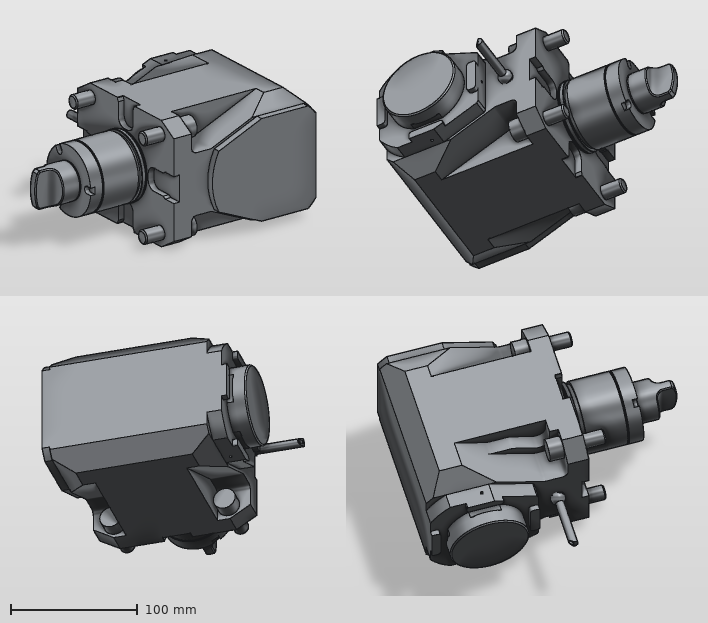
import cadquery as cq


BODY_HALF_X = 65.0
BODY_HALF_Z = 54.0
BODY_DEPTH = 134.0
SIDE_CHAMFER_X = 16.9
SIDE_CHAMFER_Z = 10.1
BACK_CHAMFER = 15.7
SIDE_HALF_Z = BODY_HALF_Z - SIDE_CHAMFER_Z

FLANGE_THICKNESS = 17.3
POCKET_START_Y = 99.5
POCKET_FLOOR_Z = 26.8
POCKET_INNER_X = 37.8
POCKET_BEND_RADIUS = 6.7
POCKET_END_RADIUS = 5.0
SLOPE = 0.43

STEP_INNER_X = 26.8
STEP_FLOOR_Z = 42.5
STEP_FLOOR_END_Y = 54.2
STEP_WALL_Y = 24.5
STEP_BEND_RADIUS = 10.1
STEP_END_RADIUS = 8.3

SLOT_DEPTH = 5.6
SLOT_INNER_REACH = 30.3
SLOT_HALF_WIDTH = 10.0
SLOT_MOUTH_HALF_WIDTH = 11.5
SLOT_TAPER_START = 50.5
SLOT_TAPER_END = 53.3
SLOT_CORNER_RADIUS = 7.6

SCREW_X = 47.0
SCREW_Z = 42.0
SCREW_HEAD_DIAMETER = 18.0
SCREW_HEAD_HEIGHT = 12.0
SCREW_DIAMETER = 12.0
SCREW_REACH = 18.0
SCREW_TIP_CHAMFER = 1.1

BORE_Y = 90.0
RIGHT_PLATE_THICKNESS = 6.3
RIGHT_PLATE_RADIUS = 56.9
RIGHT_PLATE_SLOPE_Y = 81.0
LEFT_PLATE_THICKNESS = 12.1
LEFT_PLATE_RADIUS = 52.0
LEFT_PLATE_SLOPE_Y = 82.5
LEFT_PLATE_FRONT_Y = 45.0
PAD_HEIGHT = 4.3
PAD_LENGTH = 30.3
PAD_INNER_REACH = 36.9
PAD_OUTER_REACH = 45.0
PAD_CORNER_RADIUS = 2.7
CAP_DIAMETER = 65.0
CAP_END_X = -93.5
CAP_CHAMFER = 1.1
CAP_FLAT_REACH = 30.0
CAP_FLAT_LENGTH = 5.5
PIN_HOLE_DIAMETER = 2.1
PIN_HOLE_DEPTH = 4.5

PIPE_Y = 26.0
PIPE_DIAMETER = 7.0
PIPE_END_X = -111.3
BALL_DIAMETER = 12.0
BALL_X = -67.0
NOZZLE_DIAMETER = 4.0
NOZZLE_DEPTH = 3.4

SEAL_DIAMETER = 59.5
SEAL_END_Y = -2.0
SEAL_CHAMFER = 0.7
COLLAR_DIAMETER = 60.7
COLLAR_END_Y = -5.8
GROOVE_DIAMETER = 55.3
GROOVE_END_Y = -9.2
BARREL_DIAMETER = 59.8
BARREL_END_Y = -42.5
NUT_START_Y = -43.4
NUT_DIAMETER = 59.8
NUT_END_Y = -55.5
THIN_GROOVE_DEPTH = 1.0
RIM_CHAMFER = 0.5
NOTCH_WIDTH = 6.3
NOTCH_CENTRE_RADIUS = 24.7
NOTCH_DEPTH = 4.3

NECK_DIAMETER = 33.0
NECK_END_Y = -56.6
TANG_DIAMETER = 33.5
TANG_SHOULDER_Y = -72.8
TANG_TIP_Y = -90.8
BLADE_HALF_WIDTH = 3.8
BLADE_ROOT_RADIUS = 6.3
TIP_CORNER_Y = -88.5
TIP_CHAMFER = 2.2
BLADE_EDGE_CHAMFER = 1.0

CLEARANCE = 11.2


def prism_x(outline, x_start, x_end):
    """Extrude a YZ outline from x_start to x_end."""
    return cq.Workplane("YZ", origin=(x_start, 0, 0)).polyline(outline).close().extrude(x_end - x_start)


def cylinder_x(diameter, x_start, x_end, y=0.0):
    return cq.Workplane("YZ", origin=(x_start, y, 0)).circle(diameter / 2).extrude(x_end - x_start)


def cylinder_y(diameter, y_start, y_end, x=0.0, z=0.0):
    """Cylinder along Y; y_start is the larger Y."""
    return cq.Workplane("XZ", origin=(x, y_start, z)).circle(diameter / 2).extrude(y_start - y_end)


def mirrored_z(shape):
    return shape.union(shape.mirror("XY"))


def round_x_edge(solid, point, radius):
    """Round the edge along X that passes nearest to a point."""
    return solid.edges("|X").edges(cq.NearestToPointSelector(point)).fillet(radius)


def make_block():
    back_z = BODY_HALF_Z - BACK_CHAMFER
    chamfer_y = BODY_DEPTH - BACK_CHAMFER
    side_outline = [
        (0, -BODY_HALF_Z), (chamfer_y, -BODY_HALF_Z), (BODY_DEPTH, -back_z),
        (BODY_DEPTH, back_z), (chamfer_y, BODY_HALF_Z), (0, BODY_HALF_Z),
    ]
    block = prism_x(side_outline, -BODY_HALF_X, BODY_HALF_X)
    top_x = BODY_HALF_X - SIDE_CHAMFER_X
    front_outline = [
        (BODY_HALF_X, SIDE_HALF_Z), (top_x, BODY_HALF_Z), (-top_x, BODY_HALF_Z), (-BODY_HALF_X, SIDE_HALF_Z),
        (-BODY_HALF_X, -SIDE_HALF_Z), (-top_x, -BODY_HALF_Z), (top_x, -BODY_HALF_Z), (BODY_HALF_X, -SIDE_HALF_Z),
    ]
    return block.intersect(cq.Workplane("XZ").polyline(front_outline).close().extrude(-BODY_DEPTH))


def pocket_slope_y(z):
    """Y at which the main pocket slope reaches height z."""
    return POCKET_START_Y - (BODY_HALF_Z - z) / SLOPE


def make_pocket(x_start, x_end):
    top_z = BODY_HALF_Z + CLEARANCE
    bend_y = pocket_slope_y(POCKET_FLOOR_Z)
    outline = [
        (pocket_slope_y(top_z), top_z), (bend_y, POCKET_FLOOR_Z),
        (FLANGE_THICKNESS, POCKET_FLOOR_Z), (FLANGE_THICKNESS, top_z),
    ]
    pocket = prism_x(outline, x_start, x_end)
    middle_x = (x_start + x_end) / 2
    pocket = round_x_edge(pocket, (middle_x, bend_y, POCKET_FLOOR_Z), POCKET_BEND_RADIUS)
    return round_x_edge(pocket, (middle_x, FLANGE_THICKNESS, POCKET_FLOOR_Z), POCKET_END_RADIUS)


def make_step_pocket():
    top_z = BODY_HALF_Z + CLEARANCE
    bend_y = pocket_slope_y(STEP_FLOOR_Z)
    low_z = STEP_FLOOR_Z - SLOPE * (STEP_FLOOR_END_Y - STEP_WALL_Y)
    outline = [
        (pocket_slope_y(top_z), top_z), (bend_y, STEP_FLOOR_Z), (STEP_FLOOR_END_Y, STEP_FLOOR_Z),
        (STEP_WALL_Y, low_z), (STEP_WALL_Y, top_z),
    ]
    pocket = prism_x(outline, -POCKET_INNER_X, -STEP_INNER_X)
    middle_x = -(POCKET_INNER_X + STEP_INNER_X) / 2
    pocket = round_x_edge(pocket, (middle_x, bend_y, STEP_FLOOR_Z), STEP_BEND_RADIUS)
    pocket = round_x_edge(pocket, (middle_x, STEP_FLOOR_END_Y, STEP_FLOOR_Z), STEP_BEND_RADIUS)
    return round_x_edge(pocket, (middle_x, STEP_WALL_Y, low_z), STEP_END_RADIUS)


def make_drive_slot(angle):
    outer = BODY_HALF_X + CLEARANCE
    outline = [
        (SLOT_INNER_REACH, SLOT_HALF_WIDTH), (SLOT_TAPER_START, SLOT_HALF_WIDTH),
        (SLOT_TAPER_END, SLOT_MOUTH_HALF_WIDTH), (outer, SLOT_MOUTH_HALF_WIDTH),
        (outer, -SLOT_MOUTH_HALF_WIDTH), (SLOT_TAPER_END, -SLOT_MOUTH_HALF_WIDTH),
        (SLOT_TAPER_START, -SLOT_HALF_WIDTH), (SLOT_INNER_REACH, -SLOT_HALF_WIDTH),
    ]
    slot = cq.Workplane("XZ").polyline(outline).close().extrude(-SLOT_DEPTH)
    slot = slot.edges("|Y and <X").fillet(SLOT_CORNER_RADIUS)
    return slot.rotate((0, 0, 0), (0, 1, 0), angle)


def make_body():
    body = make_block()
    body = body.cut(mirrored_z(make_pocket(-BODY_HALF_X, -POCKET_INNER_X)))
    body = body.cut(mirrored_z(make_pocket(POCKET_INNER_X, BODY_HALF_X)))
    body = body.cut(make_step_pocket())
    for angle in (0, 90, 180, 270):
        body = body.cut(make_drive_slot(angle))
    return body


def make_screw(x, z):
    head = cylinder_y(SCREW_HEAD_DIAMETER, FLANGE_THICKNESS + SCREW_HEAD_HEIGHT, FLANGE_THICKNESS, x, z)
    shank = cylinder_y(SCREW_DIAMETER, FLANGE_THICKNESS, -SCREW_REACH, x, z)
    return head.union(shank.faces("<Y").chamfer(SCREW_TIP_CHAMFER))


def make_plate_blank(front_y, slope_y, radius, x_start, x_end):
    """Plate with sloping front corners, trimmed by a circle around the cross bore."""
    front_z = SIDE_HALF_Z - SLOPE * (slope_y - front_y)
    outline = [
        (BODY_DEPTH, SIDE_HALF_Z), (slope_y, SIDE_HALF_Z), (front_y, front_z),
        (front_y, -front_z), (slope_y, -SIDE_HALF_Z), (BODY_DEPTH, -SIDE_HALF_Z),
    ]
    return prism_x(outline, x_start, x_end).intersect(cylinder_x(2 * radius, x_start, x_end, BORE_Y))


def make_right_plate():
    front_y = BORE_Y - RIGHT_PLATE_RADIUS
    face_x = BODY_HALF_X + RIGHT_PLATE_THICKNESS
    return make_plate_blank(front_y, RIGHT_PLATE_SLOPE_Y, RIGHT_PLATE_RADIUS, BODY_HALF_X, face_x)


def make_left_blank(x_start, x_end):
    return make_plate_blank(LEFT_PLATE_FRONT_Y, LEFT_PLATE_SLOPE_Y, LEFT_PLATE_RADIUS, x_start, x_end)


def make_left_plate():
    face_x = -BODY_HALF_X - LEFT_PLATE_THICKNESS
    plate = make_left_blank(face_x, -BODY_HALF_X)

    pad_x = face_x - PAD_HEIGHT
    pad_limits = make_left_blank(pad_x, face_x)
    pad_width = PAD_OUTER_REACH - PAD_INNER_REACH
    for angle in (0, 90, 180, 270):
        pad = cq.Workplane("XY").box(PAD_HEIGHT, pad_width, PAD_LENGTH)
        pad = pad.edges("|X").fillet(PAD_CORNER_RADIUS)
        pad = pad.translate((pad_x + PAD_HEIGHT / 2, PAD_INNER_REACH + pad_width / 2, 0))
        pad = pad.rotate((0, 0, 0), (1, 0, 0), angle).translate((0, BORE_Y, 0))
        plate = plate.union(pad.intersect(pad_limits))

    hole_x = -BODY_HALF_X - LEFT_PLATE_THICKNESS / 2
    plate = plate.cut(cylinder_y(PIN_HOLE_DIAMETER, LEFT_PLATE_FRONT_Y + PIN_HOLE_DEPTH, 0, hole_x))
    pin_hole = cq.Workplane("XY", origin=(hole_x, BORE_Y, SIDE_HALF_Z)).circle(PIN_HOLE_DIAMETER / 2)
    return plate.cut(mirrored_z(pin_hole.extrude(-PIN_HOLE_DEPTH)))


def make_cap():
    face_x = -BODY_HALF_X - LEFT_PLATE_THICKNESS
    cap = cylinder_x(CAP_DIAMETER, CAP_END_X, face_x, BORE_Y).faces("<X").chamfer(CAP_CHAMFER)
    for angle in (0, 90, 270):
        flat = cq.Workplane("XY").box(CAP_FLAT_LENGTH, CLEARANCE, CAP_DIAMETER)
        flat = flat.translate((face_x - CAP_FLAT_LENGTH / 2, CAP_FLAT_REACH + CLEARANCE / 2, 0))
        flat = flat.rotate((0, 0, 0), (1, 0, 0), angle).translate((0, BORE_Y, 0))
        cap = cap.cut(flat)
    return cap


def make_pipe():
    pipe = cylinder_x(PIPE_DIAMETER, PIPE_END_X, -BODY_HALF_X, PIPE_Y)
    bevel = [
        (PIPE_END_X, PIPE_Y), (PIPE_END_X, PIPE_Y + PIPE_DIAMETER),
        (PIPE_END_X + PIPE_DIAMETER, PIPE_Y + PIPE_DIAMETER),
    ]
    pipe = pipe.cut(cq.Workplane("XY").polyline(bevel).close().extrude(PIPE_DIAMETER, both=True))
    nozzle_shift = PIPE_DIAMETER / 4
    nozzle_plane = cq.Plane(
        origin=(PIPE_END_X + nozzle_shift, PIPE_Y + nozzle_shift, 0), xDir=(0, 0, 1), normal=(1, -1, 0)
    )
    pipe = pipe.cut(cq.Workplane(nozzle_plane).circle(NOZZLE_DIAMETER / 2).extrude(NOZZLE_DEPTH))
    ball = cq.Workplane("XY").sphere(BALL_DIAMETER / 2).translate((BALL_X, PIPE_Y, 0))
    return pipe.union(ball)


def make_spindle():
    thin_groove_diameter = BARREL_DIAMETER - 2 * THIN_GROOVE_DEPTH
    spindle = cylinder_y(GROOVE_DIAMETER, FLANGE_THICKNESS, BARREL_END_Y)
    seal = cylinder_y(SEAL_DIAMETER, 0, SEAL_END_Y).edges("%CIRCLE").chamfer(SEAL_CHAMFER)
    collar = cylinder_y(COLLAR_DIAMETER, SEAL_END_Y, COLLAR_END_Y).edges("%CIRCLE").chamfer(RIM_CHAMFER)
    barrel = cylinder_y(BARREL_DIAMETER, GROOVE_END_Y, BARREL_END_Y)
    spindle = spindle.union(seal).union(collar).union(barrel)
    spindle = spindle.union(cylinder_y(thin_groove_diameter, BARREL_END_Y, NUT_START_Y))

    nut = cylinder_y(NUT_DIAMETER, NUT_START_Y, NUT_END_Y).faces(">Y").chamfer(RIM_CHAMFER)
    notch_length = NUT_DIAMETER / 2
    notch_centre = NOTCH_CENTRE_RADIUS + notch_length / 2
    for angle in (0, 120, 240):
        notch = cylinder_y(NOTCH_WIDTH, NUT_END_Y + NOTCH_DEPTH, NUT_END_Y, NOTCH_CENTRE_RADIUS)
        opening = cq.Workplane("XY").box(notch_length, NOTCH_DEPTH, NOTCH_WIDTH)
        notch = notch.union(opening.translate((notch_centre, NUT_END_Y + NOTCH_DEPTH / 2, 0)))
        nut = nut.cut(notch.rotate((0, 0, 0), (0, 1, 0), angle))
    return spindle.union(nut)


def make_tang():
    radius = TANG_DIAMETER / 2
    dome_height = TIP_CORNER_Y - TANG_TIP_Y
    dome_radius = ((radius - TIP_CHAMFER) ** 2 + dome_height ** 2) / (2 * dome_height)
    profile = (
        cq.Workplane("XY")
        .moveTo(0, NECK_END_Y)
        .lineTo(radius, NECK_END_Y)
        .lineTo(radius, TIP_CORNER_Y + TIP_CHAMFER)
        .lineTo(radius - TIP_CHAMFER, TIP_CORNER_Y)
        .radiusArc((0, TANG_TIP_Y), dome_radius)
        .close()
    )
    tang = profile.revolve(360, (0, 0, 0), (0, 1, 0))
    flank_width = radius + CLEARANCE - BLADE_HALF_WIDTH
    flank_length = TANG_SHOULDER_Y - TANG_TIP_Y + CLEARANCE
    flank = cq.Workplane("XY").box(flank_width, flank_length, TANG_DIAMETER + CLEARANCE)
    flank = flank.edges("|Z and <X and >Y").fillet(BLADE_ROOT_RADIUS)
    flank = flank.translate((BLADE_HALF_WIDTH + flank_width / 2, TANG_SHOULDER_Y - flank_length / 2, 0))
    tang = tang.cut(flank).cut(flank.mirror("YZ"))
    flank_edges = tang.edges("not |Z").filter(
        lambda edge: edge.Center().y < TANG_SHOULDER_Y + BLADE_EDGE_CHAMFER
        and abs(edge.Center().x) > BLADE_HALF_WIDTH - BLADE_EDGE_CHAMFER
    )
    tang = flank_edges.chamfer(BLADE_EDGE_CHAMFER)
    return tang.union(cylinder_y(NECK_DIAMETER, NUT_END_Y, NECK_END_Y))


result = make_body()
for screw_x in (-SCREW_X, SCREW_X):
    for screw_z in (-SCREW_Z, SCREW_Z):
        result = result.union(make_screw(screw_x, screw_z))
for part in (make_right_plate(), make_left_plate(), make_cap(), make_pipe(), make_spindle(), make_tang()):
    result = result.union(part)